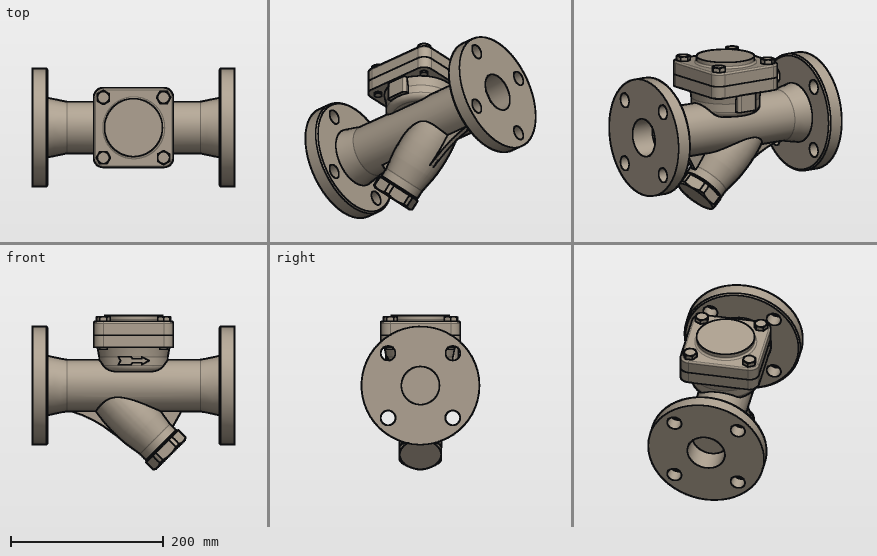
import cadquery as cq
import math

length = 265.0
flange_dia = 155.0
flange_thickness = 20.1
flange_chamfer = 2.0
flange_hole_dia = 19.0
flange_hole_offset = 42.5
pipe_dia = 68.0
neck_dia = 78.5
neck_length = 25.0
bore_dia = 50.0
bore_depth = 31.8

plate_side = 104.7
plate_corner_radius = 12.7
plate_bottom = 50.0
joint_height = 66.2
cover_top = 84.3
cover_edge_radius = 2.5
disc_dia = 76.0
disc_top = 92.0
disc_root_radius = 2.6
bowl_bottom = 18.3
bowl_wall_bottom = 26.5
bowl_wall_top = 37.5
bowl_dia = 90.4
bowl_top_dia = 95.0

bolt_offset = 39.5
bolt_dia = 10.0
bolt_head_flats = 16.0
bolt_head_corner_dia = 18.5
bolt_head_end_dia = 15.6
bolt_chamfer_start = 89.5
bolt_head_top = 90.4
bolt_tip = 47.5

pad_width = 29.7
pad_reach = 49.8
pad_edge_radius = 3.7

arrow_height = 0.5
arrow_mid_z = 32.5
arrow_half_width = 5.0
shaft_half_width = 2.5
arrow_tail = -20.0
arrow_notch = -17.0
arrow_waist = (-3.2, -1.0)
arrow_head = 11.0
arrow_tip = 20.5

branch_x = -42.0
branch_turn = 135.0
branch_start, branch_start_radius = 16.5, 29.2
branch_belly, branch_belly_radius = 53.5, 32.5
collar_start, collar_end = 98.5, 110.2
collar_dia = 56.0
washer_end = 112.4
washer_dia = 54.0
hex_flats = 55.0
hex_corner_dia = 60.2
hex_chamfer_start = 126.0
hex_end = 128.0
hex_end_dia = 54.0

rib_thickness = 7.0
rib_left_x = -81.0
rib_curve_mid = (-51.7, -46.0)
rib_curve_end = (-28.4, -61.5)
rib_low = (8.0, -88.2)
rib_collar = (52.0, -53.3)
rib_right_x = 62.8

half_length = length / 2
pipe_radius = pipe_dia / 2
bowl_radius = bowl_dia / 2


def pipe_run():
    """Pipe with conical necks and a chamfered flange at each end."""
    flange_face = half_length - flange_thickness
    neck_end = flange_face - neck_length
    flange_radius = flange_dia / 2
    right_half = [
        (neck_end, pipe_radius),
        (flange_face, neck_dia / 2),
        (flange_face, flange_radius - flange_chamfer),
        (flange_face + flange_chamfer, flange_radius),
        (half_length, flange_radius),
        (half_length, 0),
    ]
    left_half = [(-x, r) for x, r in reversed(right_half)]
    return cq.Workplane("XY").polyline(left_half + right_half).close().revolve(360, (0, 0, 0), (1, 0, 0))


def flange_holes():
    """Bolt holes through both flanges."""
    spacing = 2 * flange_hole_offset
    holes = cq.Workplane("YZ", origin=(half_length - flange_thickness, 0, 0))
    holes = holes.rect(spacing, spacing, forConstruction=True).vertices()
    holes = holes.circle(flange_hole_dia / 2).extrude(flange_thickness)
    return holes.union(holes.mirror("YZ"))


def bores():
    """Flat-ended bore at each end of the pipe."""
    bore = cq.Workplane("YZ", origin=(half_length - bore_depth, 0, 0))
    bore = bore.circle(bore_dia / 2).extrude(bore_depth)
    return bore.union(bore.mirror("YZ"))


def square_plate(bottom, top):
    """Square plate with rounded corners, between two heights."""
    plate = cq.Workplane("XY", origin=(0, 0, bottom)).rect(plate_side, plate_side).extrude(top - bottom)
    return plate.edges("|Z").fillet(plate_corner_radius)


def bowl():
    """Round bowl under the bonnet: rounded foot, straight wall, flared top."""
    foot_radius = bowl_wall_bottom - bowl_bottom
    foot_mid = foot_radius * math.sqrt(0.5)
    profile = (
        cq.Workplane("XZ")
        .moveTo(0, bowl_bottom)
        .lineTo(bowl_radius - foot_radius, bowl_bottom)
        .threePointArc(
            (bowl_radius - foot_radius + foot_mid, bowl_wall_bottom - foot_mid),
            (bowl_radius, bowl_wall_bottom),
        )
        .lineTo(bowl_radius, bowl_wall_top)
        .lineTo(bowl_top_dia / 2, plate_bottom)
        .lineTo(0, plate_bottom)
        .close()
    )
    return profile.revolve(360, (0, 0, 0), (0, 1, 0))


def bowl_pad():
    """Upright pad with rounded outer edges on the +Y side of the bowl."""
    pad = cq.Workplane("XY", origin=(0, 0, bowl_wall_bottom))
    pad = pad.center(0, pad_reach / 2).rect(pad_width, pad_reach).extrude(plate_bottom - bowl_wall_bottom)
    return pad.edges("|Z and >Y").fillet(pad_edge_radius)


def flow_arrow():
    """Arrow raised slightly from the straight wall of the bowl."""
    upper_edge = [
        (arrow_tail, arrow_half_width),
        (arrow_waist[0], arrow_half_width),
        (arrow_waist[1], shaft_half_width),
        (arrow_head, shaft_half_width),
        (arrow_head, arrow_half_width),
    ]
    lower_edge = [(x, -z) for x, z in reversed(upper_edge)]
    outline = [(arrow_notch, 0)] + upper_edge + [(arrow_tip, 0)] + lower_edge
    arrow = cq.Workplane("XZ", origin=(0, 0, arrow_mid_z)).polyline(outline).close().extrude(plate_side)
    face = cq.Workplane("XY").circle(bowl_radius + arrow_height).extrude(plate_bottom)
    return arrow.intersect(face)


def hex_head(flats, corner_dia, end_dia, base, chamfer_start, end):
    """Hexagon along Z from base to end, trimmed to a round bar with a conical chamfer at its end."""
    across_corners = flats / math.cos(math.pi / 6)
    hexagon = cq.Workplane("XY", origin=(0, 0, base)).polygon(6, across_corners).extrude(end - base)
    bar_outline = [
        (0, base),
        (corner_dia / 2, base),
        (corner_dia / 2, chamfer_start),
        (end_dia / 2, end),
        (0, end),
    ]
    bar = cq.Workplane("XZ").polyline(bar_outline).close().revolve(360, (0, 0, 0), (0, 1, 0))
    return hexagon.intersect(bar)


def place_on_branch(shape):
    """Move a shape built along +Z from the origin onto the branch axis."""
    return shape.rotate((0, 0, 0), (0, 1, 0), branch_turn).translate((branch_x, 0, 0))


def branch():
    """Barrel-shaped branch with a straight collar and a washer."""
    collar_radius = collar_dia / 2
    washer_radius = washer_dia / 2
    profile = (
        cq.Workplane("XZ")
        .moveTo(0, branch_start)
        .lineTo(branch_start_radius, branch_start)
        .threePointArc((branch_belly_radius, branch_belly), (collar_radius, collar_start))
        .lineTo(collar_radius, collar_end)
        .lineTo(washer_radius, collar_end)
        .lineTo(washer_radius, washer_end)
        .lineTo(0, washer_end)
        .close()
    )
    return place_on_branch(profile.revolve(360, (0, 0, 0), (0, 1, 0)))


def hex_plug():
    """Hexagonal plug head with trimmed corners and a chamfered end."""
    head = hex_head(hex_flats, hex_corner_dia, hex_end_dia, washer_end, hex_chamfer_start, hex_end)
    return place_on_branch(head)


def rib():
    """Flat rib joining the pipe to the branch, with a curved lower edge."""
    outline = (
        cq.Workplane("XZ")
        .moveTo(rib_left_x, -pipe_radius)
        .threePointArc(rib_curve_mid, rib_curve_end)
        .lineTo(*rib_low)
        .lineTo(*rib_collar)
        .lineTo(rib_right_x, -pipe_radius)
        .lineTo(rib_right_x, 0)
        .lineTo(rib_left_x, 0)
        .close()
    )
    return outline.extrude(rib_thickness / 2, both=True)


def bolt_shanks():
    """Four bolt shanks from their tips up to the joint."""
    spacing = 2 * bolt_offset
    shanks = cq.Workplane("XY", origin=(0, 0, bolt_tip)).rect(spacing, spacing, forConstruction=True)
    return shanks.vertices().circle(bolt_dia / 2).extrude(joint_height - bolt_tip)


def bolt_head(quarter):
    """Chamfered hexagonal head at one corner of the cover, turned with its corner."""
    head = hex_head(
        bolt_head_flats, bolt_head_corner_dia, bolt_head_end_dia, cover_top, bolt_chamfer_start, bolt_head_top
    )
    head = head.translate((bolt_offset, bolt_offset, 0))
    return head.rotate((0, 0, 0), (0, 0, 1), 90 * quarter)


def raised_disc():
    """Round disc on the cover with a concave fillet at its root."""
    disc_radius = disc_dia / 2
    root_mid = disc_root_radius * (1 - math.sqrt(0.5))
    profile = (
        cq.Workplane("XZ")
        .moveTo(0, cover_top)
        .lineTo(disc_radius + disc_root_radius, cover_top)
        .threePointArc(
            (disc_radius + root_mid, cover_top + root_mid),
            (disc_radius, cover_top + disc_root_radius),
        )
        .lineTo(disc_radius, disc_top)
        .lineTo(0, disc_top)
        .close()
    )
    return profile.revolve(360, (0, 0, 0), (0, 1, 0))


def make_housing():
    """Flanged pipe with bowl, bonnet plate, strainer branch and plug."""
    body = pipe_run().union(bowl()).union(square_plate(plate_bottom, joint_height))
    body = body.union(bowl_pad()).union(flow_arrow())
    body = body.union(branch()).union(hex_plug()).union(rib())
    return body.cut(flange_holes()).cut(bores()).cut(bolt_shanks()).solids()


def make_cover():
    """Square cover with its raised disc and four bolts."""
    body = square_plate(joint_height, cover_top).faces(">Z").edges().fillet(cover_edge_radius)
    body = body.union(raised_disc()).union(bolt_shanks())
    for quarter in range(4):
        body = body.union(bolt_head(quarter))
    return body.solids()


housing = make_housing()
cover = make_cover()

result = cq.Compound.makeCompound([housing.val(), cover.val()])